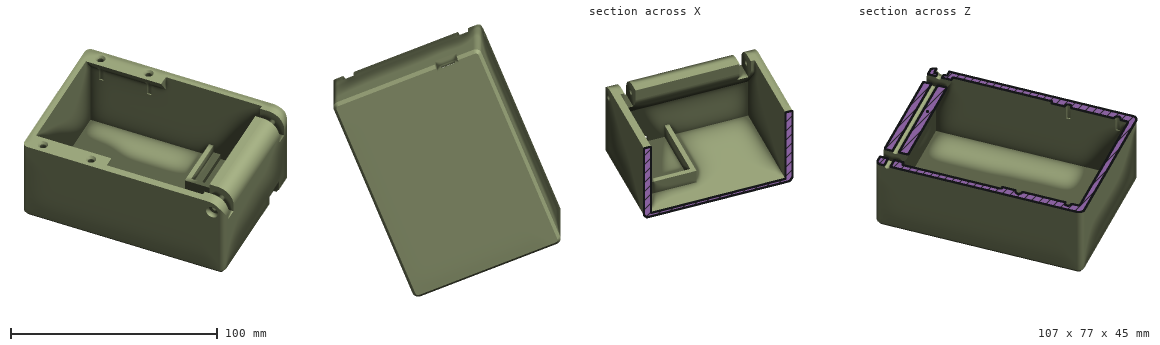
import cadquery as cq
import math

LENGTH = 107.0
WIDTH = 77.0
HEIGHT = 45.0
CORNER_RADIUS = 3.0
BOTTOM_CHAMFER_HEIGHT = 2.0
BOTTOM_CHAMFER_INSET = 1.5
HINGE_EDGE_RADIUS = 8.6

FLOOR = 2.5
LEFT_WALL = 3.4
RIGHT_WALL = 4.1
SIDE_WALL = 3.7

HINGE_INSET = 6.2
HINGE_RADIUS = 6.5
HINGE_SUPPORT_ANGLE = 55.0
PIN_HOLE = 3.0
PIN_HEAD = 6.4
PIN_HEAD_DEPTH = 3.2
SLOT_OFFSET = 5.8
SLOT_WIDTH = 5.8
EAR_LENGTH = 12.7

RAIL_END = 43.3
RAIL_WIDTH = 9.2
RAIL_DEPTH = 8.2
SCREW_X = (9.1, 34.6)
SCREW_OFFSET = 4.6
SCREW_HOLE = 3.0
SCREW_DEPTH = 14.5
COUNTERSINK = 5.0
COUNTERSINK_ANGLE = 82.0

RIB_X = 66.2
RIB_Y = 44.7
RIB_THICKNESS = 2.4
RIB_TOP = 9.8
STEP_WIDTH = 3.9
STEP_HEIGHT = 3.0

WINDOW_Y = 59.6
WINDOW_WIDTH = 7.3
WINDOW_HEIGHT = 3.6
PLUG_RECESS_WIDTH = 11.3
PLUG_RECESS_TOP = 7.5
PLUG_MEMBRANE = 1.1

hinge_x = LENGTH - HINGE_INSET
hinge_z = HEIGHT - HINGE_INSET
inner_right = LENGTH - RIGHT_WALL
inner_back = WIDTH - SIDE_WALL


def box(x_range, y_range, z_range):
    """Box spanning the given (low, high) ranges."""
    corner = (x_range[0], y_range[0], z_range[0])
    size = [high - low for low, high in (x_range, y_range, z_range)]
    return cq.Workplane("XY").box(*size, centered=False).translate(corner)


def hinge_cylinder(diameter, y_start, length):
    """Cylinder on the hinge axis, running toward +Y."""
    start = cq.Vector(hinge_x, y_start, hinge_z)
    return cq.Workplane(cq.Solid.makeCylinder(diameter / 2, length, start, cq.Vector(0, 1, 0)))


def outer_body():
    body = box((0, LENGTH), (0, WIDTH), (0, HEIGHT))
    body = body.edges("|Z").fillet(CORNER_RADIUS)
    body = body.faces("<Z").chamfer(BOTTOM_CHAMFER_HEIGHT, BOTTOM_CHAMFER_INSET)
    side_profile = (
        box((0, LENGTH), (0, WIDTH), (0, HEIGHT))
        .edges(">X and >Z")
        .fillet(HINGE_EDGE_RADIUS)
    )
    return body.intersect(side_profile)


def cavity():
    return box((LEFT_WALL, inner_right), (SIDE_WALL, inner_back), (FLOOR, HEIGHT))


def hinge_beam():
    """Thick upper right edge: round below the hinge, then sloping down to the wall."""
    slope = math.radians(HINGE_SUPPORT_ANGLE)
    tangent_x = hinge_x - HINGE_RADIUS * math.sin(slope)
    tangent_z = hinge_z - HINGE_RADIUS * math.cos(slope)
    middle_x = hinge_x - HINGE_RADIUS * math.cos((math.pi / 2 - slope) / 2)
    middle_z = hinge_z - HINGE_RADIUS * math.sin((math.pi / 2 - slope) / 2)
    slope_end_z = tangent_z - (inner_right - tangent_x) * math.tan(slope)
    return (
        cq.Workplane("XZ")
        .moveTo(inner_right, HEIGHT)
        .lineTo(hinge_x - HINGE_RADIUS, HEIGHT)
        .lineTo(hinge_x - HINGE_RADIUS, hinge_z)
        .threePointArc((middle_x, middle_z), (tangent_x, tangent_z))
        .lineTo(inner_right, slope_end_z)
        .close()
        .extrude(-(WIDTH - 2 * SIDE_WALL))
        .translate((0, SIDE_WALL, 0))
    )


def screw_rail():
    """Triangular rail on the front wall."""
    return (
        cq.Workplane("YZ")
        .polyline([(SIDE_WALL, HEIGHT), (RAIL_WIDTH, HEIGHT), (SIDE_WALL, HEIGHT - RAIL_DEPTH)])
        .close()
        .extrude(RAIL_END - LEFT_WALL)
        .translate((LEFT_WALL, 0, 0))
    )


def screw_holes():
    positions = [(x, y) for x in SCREW_X for y in (SCREW_OFFSET, WIDTH - SCREW_OFFSET)]
    taper_height = (COUNTERSINK - SCREW_HOLE) / 2 / math.tan(math.radians(COUNTERSINK_ANGLE / 2))
    top = cq.Workplane("XY").workplane(offset=HEIGHT).pushPoints(positions)
    drill = top.circle(SCREW_HOLE / 2).extrude(-SCREW_DEPTH)
    cone = cq.Solid.makeCone(SCREW_HOLE / 2, COUNTERSINK / 2, taper_height)
    for x, y in positions:
        drill = drill.union(cq.Workplane(cone.translate(cq.Vector(x, y, HEIGHT - taper_height))))
    return drill


def compartment():
    back_rib = box((RIB_X, RIB_X + RIB_THICKNESS), (RIB_Y, inner_back), (FLOOR, RIB_TOP))
    front_rib = box((RIB_X, inner_right), (RIB_Y, RIB_Y + RIB_THICKNESS), (FLOOR, RIB_TOP))
    step_x = RIB_X + RIB_THICKNESS
    step = box((step_x, step_x + STEP_WIDTH), (RIB_Y, inner_back), (FLOOR, FLOOR + STEP_HEIGHT))
    return back_rib.union(front_rib).union(step)


def cable_opening():
    """Small window, with a wider plug recess on its outer side."""
    def across(width):
        return (WINDOW_Y - width / 2, WINDOW_Y + width / 2)

    window = box((inner_right, LENGTH), across(WINDOW_WIDTH), (FLOOR, FLOOR + WINDOW_HEIGHT))
    recess = box((inner_right + PLUG_MEMBRANE, LENGTH), across(PLUG_RECESS_WIDTH), (0, PLUG_RECESS_TOP))
    return window.union(recess)


body = outer_body()
result = body.cut(cavity()).union(hinge_beam().intersect(body))

slot_floor = hinge_z - HINGE_RADIUS
for slot_y in (SLOT_OFFSET, WIDTH - SLOT_OFFSET - SLOT_WIDTH):
    slot = box((LENGTH - EAR_LENGTH, LENGTH), (slot_y, slot_y + SLOT_WIDTH), (slot_floor, HEIGHT))
    result = result.cut(slot)
result = result.cut(hinge_cylinder(PIN_HOLE, 0, WIDTH))
result = result.cut(hinge_cylinder(PIN_HEAD, 0, PIN_HEAD_DEPTH))

front_rail = screw_rail()
back_rail = front_rail.mirror("XZ", (0, WIDTH / 2, 0))
result = result.union(front_rail).union(back_rail).cut(screw_holes())

result = result.union(compartment()).cut(cable_opening())